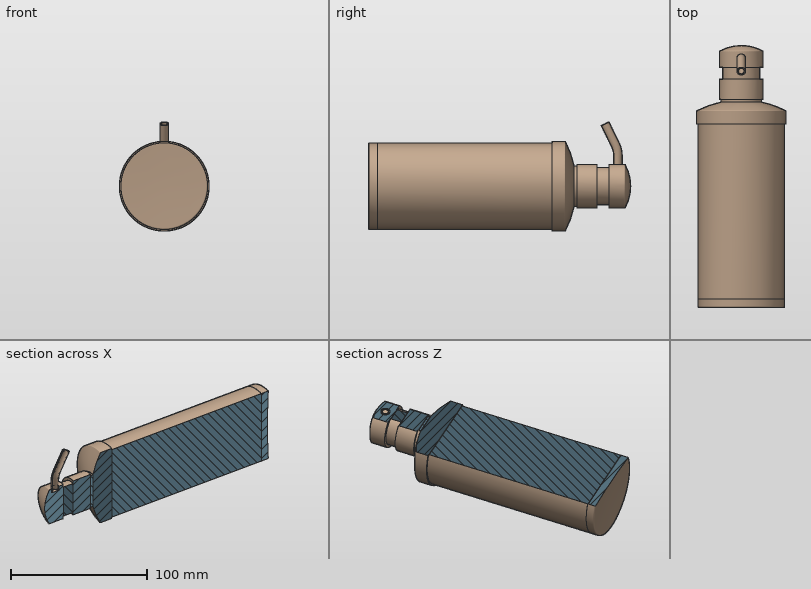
import cadquery as cq
import math


base_top = 6.3
bottle_top = 134.3
shoulder_edge = 144.0
shoulder_top = 150.5
neck_top = 152.4
collar_top = 167.3
stem_top = 175.8
head_edge = 187.7
head_tip = 191.9

bottle_diameter = 63.5
shoulder_diameter = 65.8
neck_diameter = 30.0
collar_diameter = 32.0
stem_diameter = 27.5
head_diameter = collar_diameter

rim_fillet = 0.5

base_fillet = 0.8
dish_diameter = 61.5
dish_depth = 0.8

spout_diameter = 6.3
spout_bore = 4.5
spout_station = 182.5
socket_floor = 12.5
bend_start = 22.5
bend_radius = 17.3
bend_angle = 26.0
overall_height = 80.0
spout_top = overall_height - shoulder_diameter / 2


def disc(diameter, bottom, top):
    """Solid round body on the Y axis between two stations."""
    profile = cq.Workplane("XZ", origin=(0, bottom, 0)).circle(diameter / 2)
    return profile.extrude(bottom - top)


def sphere_radius(large_radius, small_radius, rise):
    """Radius of a sphere, centred on the axis, through two rings a given rise apart."""
    centre_drop = (large_radius**2 - small_radius**2 - rise**2) / (2 * rise)
    return math.hypot(large_radius, centre_drop)


def domed_disc(diameter, bottom, edge, top, top_diameter=0.0):
    """Round body whose cylindrical rim rounds over into a spherical dome."""
    rim_radius = diameter / 2
    top_radius = top_diameter / 2
    radius = sphere_radius(rim_radius, top_radius, top - edge)
    centre = edge - math.sqrt(radius**2 - rim_radius**2)
    middle_radius = (rim_radius + top_radius) / 2
    middle = (middle_radius, centre + math.sqrt(radius**2 - middle_radius**2))
    profile = (
        cq.Workplane("XY")
        .moveTo(0, bottom)
        .lineTo(rim_radius, bottom)
        .lineTo(rim_radius, edge)
        .threePointArc(middle, (top_radius, top))
    )
    if top_radius > 0:
        profile = profile.lineTo(0, top)
    body = profile.close().revolve(360, (0, 0, 0), (0, 1, 0))
    rim_edge = cq.selectors.NearestToPointSelector((0, edge, 0))
    return body.edges("%CIRCLE").edges(rim_edge).fillet(rim_fillet)


def make_base():
    """Base cap with a rounded foot and a shallow spherical dish underneath."""
    cap = disc(bottle_diameter, 0, base_top).faces("<Y").edges().fillet(base_fillet)
    radius = sphere_radius(dish_diameter / 2, 0, dish_depth)
    dish = cq.Workplane("XY").sphere(radius).translate((0, dish_depth - radius, 0))
    return cap.cut(dish)


def spout_path():
    """Centre line of the spout: straight up, a bend, then a straight lean."""
    angle = math.radians(bend_angle)
    half = angle / 2
    middle = (
        spout_station - bend_radius * (1 - math.cos(half)),
        bend_start + bend_radius * math.sin(half),
    )
    bend_end = (
        spout_station - bend_radius * (1 - math.cos(angle)),
        bend_start + bend_radius * math.sin(angle),
    )
    tip_z = spout_top - spout_diameter / 2 * math.sin(angle)
    tip_y = bend_end[0] - (tip_z - bend_end[1]) * math.tan(angle)
    return (
        cq.Workplane("YZ")
        .moveTo(spout_station, socket_floor)
        .lineTo(spout_station, bend_start)
        .threePointArc(middle, bend_end)
        .lineTo(tip_y, tip_z)
    )


def make_spout():
    """Bent tube, open along its whole length."""
    section = cq.Workplane("XY", origin=(0, spout_station, socket_floor))
    return section.circle(spout_diameter / 2).circle(spout_bore / 2).sweep(spout_path())


def make_head():
    """Domed push button with a round socket for the spout."""
    button = domed_disc(head_diameter, stem_top, head_edge, head_tip)
    socket = (
        cq.Workplane("XY", origin=(0, spout_station, socket_floor))
        .circle(spout_diameter / 2)
        .extrude(head_diameter / 2 - socket_floor)
    )
    return button.cut(socket)


base = make_base()
bottle = disc(bottle_diameter, base_top, bottle_top)
shoulder = domed_disc(shoulder_diameter, bottle_top, shoulder_edge, shoulder_top, neck_diameter)
neck_ring = disc(neck_diameter, shoulder_top, neck_top)
collar = disc(collar_diameter, neck_top, collar_top)
stem = disc(stem_diameter, collar_top, stem_top)
head = make_head()
spout = make_spout()

bodies = [base, bottle, shoulder, neck_ring, collar, stem, head, spout]
result = cq.Compound.makeCompound([body.solids().val() for body in bodies])